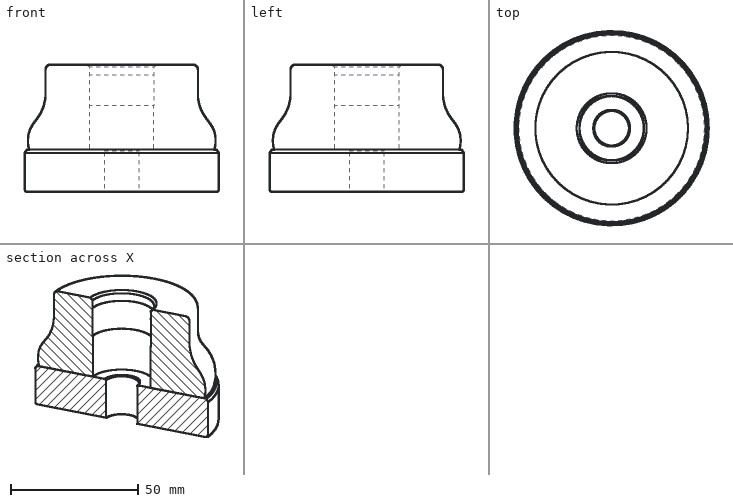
import cadquery as cq
import math

base_radius = 38.1
base_height = 16.6
base_top_radius = 37.25
base_top_bevel_height = 1.3
base_bottom_fillet = 1.0
hole_radius = 6.8
hole_chamfer = 0.45

total_height = 50.0
bulge_radius = 36.9
neck_radius = 29.95
bulge_bottom_z = 19.8
bulge_top_z = 20.5
neck_bottom_z = 38.25
bulge_curve_radius = 10.3
neck_curve_radius = 15.1
top_fillet = 2.05

bore_radius = 12.7
bore_step = 0.1
upper_step_z = 45.8
lower_step_z = 34.0
bore_chamfer = 1.0


def polar(center, radius, angle):
    """Point on a circle in the radius-height plane."""
    return (center[0] + radius * math.cos(angle), center[1] + radius * math.sin(angle))


def make_base():
    """Disc with a beveled top rim, a rounded bottom rim and a central through hole."""
    profile = [
        (0, 0),
        (base_radius, 0),
        (base_radius, base_height - base_top_bevel_height),
        (base_top_radius, base_height),
        (0, base_height),
    ]
    disc = cq.Workplane("XZ").polyline(profile).close().revolve(360, (0, 0), (0, 1))
    disc = disc.faces("<Z").edges().fillet(base_bottom_fillet)
    disc = disc.faces(">Z").workplane().hole(2 * hole_radius)
    return disc.faces(">Z").edges("%CIRCLE").edges(cq.selectors.RadiusNthSelector(0)).chamfer(hole_chamfer)


def make_housing_outline():
    """Solid bell: two arcs joined by a common tangent line form the shoulder."""
    bulge_center = (bulge_radius - bulge_curve_radius, bulge_top_z)
    neck_center = (neck_radius + neck_curve_radius, neck_bottom_z)
    lower_center = (bulge_center[0], bulge_bottom_z)

    run = neck_center[0] - bulge_center[0]
    rise = neck_center[1] - bulge_center[1]
    tangent_offset = math.acos((bulge_curve_radius + neck_curve_radius) / math.hypot(run, rise))
    normal = math.atan2(rise, run) - tangent_offset

    undercut = math.asin((base_height - bulge_bottom_z) / bulge_curve_radius)
    foot = polar(lower_center, bulge_curve_radius, undercut)

    bell = (
        cq.Workplane("XZ")
        .moveTo(0, base_height)
        .lineTo(*foot)
        .threePointArc(
            polar(lower_center, bulge_curve_radius, undercut / 2),
            (bulge_radius, bulge_bottom_z),
        )
        .lineTo(bulge_radius, bulge_top_z)
        .threePointArc(
            polar(bulge_center, bulge_curve_radius, normal / 2),
            polar(bulge_center, bulge_curve_radius, normal),
        )
        .lineTo(*polar(neck_center, neck_curve_radius, math.pi + normal))
        .threePointArc(
            polar(neck_center, neck_curve_radius, math.pi + normal / 2),
            (neck_radius, neck_bottom_z),
        )
        .lineTo(neck_radius, total_height)
        .lineTo(0, total_height)
        .close()
        .revolve(360, (0, 0), (0, 1))
    )
    return bell.faces(">Z").edges().fillet(top_fillet)


def make_bore():
    """Cutter for the chamfered bore, narrowing slightly at each step."""
    middle_radius = bore_radius - bore_step
    lower_radius = middle_radius - bore_step
    profile = [
        (0, base_height),
        (lower_radius, base_height),
        (lower_radius, lower_step_z),
        (middle_radius, lower_step_z),
        (middle_radius, upper_step_z),
        (bore_radius, upper_step_z),
        (bore_radius, total_height - bore_chamfer),
        (bore_radius + bore_chamfer, total_height),
        (0, total_height),
    ]
    return cq.Workplane("XZ").polyline(profile).close().revolve(360, (0, 0), (0, 1))


base = make_base()
housing = make_housing_outline().cut(make_bore())

result = cq.Compound.makeCompound([base.val(), housing.val()])